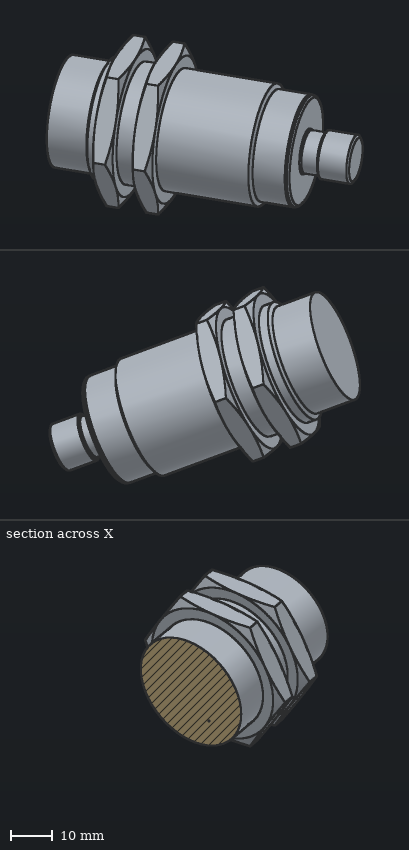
import cadquery as cq
import math

total_length = 73.5

cap_diameter = 27.5
cap_length = 10.0
barrel_diameter = 30.0
barrel_end = 51.9
barrel_chamfer_length = 0.65
barrel_chamfer_root_diameter = 27.5

rear_diameter = 27.5
rear_end = 61.0
rear_lid_diameter = 27.3
rear_lid_thickness = 1.0
rear_lid_chamfer = rear_lid_thickness / 2

neck_diameter = 10.6
neck_flare_length = 0.45
neck_flare_height = 0.3
plug_diameter = 12.0
plug_start = 65.8
plug_end_chamfer_length = 0.5
plug_end_chamfer_depth = 0.65

nut_across_flats = 36.0
nut_thickness = 5.0
nut_first_position = 13.0
nut_spacing = 10.0
nut_count = 2
nut_corner_chamfer_length = 1.0


def cylinder(diameter, start, end):
    """Solid cylinder along X between two stations."""
    return cq.Workplane("YZ", origin=(start, 0, 0)).circle(diameter / 2).extrude(end - start)


def revolve_about_x(points):
    """Turn an (X, radius) outline about the X axis."""
    return cq.Workplane("XY").polyline(points).close().revolve(360, (0, 0, 0), (1, 0, 0))


def make_barrel():
    """Threaded barrel with the same lead-in chamfer at both ends."""
    radius = barrel_diameter / 2
    root_radius = barrel_chamfer_root_diameter / 2
    return revolve_about_x([
        (cap_length, 0),
        (cap_length, root_radius),
        (cap_length + barrel_chamfer_length, radius),
        (barrel_end - barrel_chamfer_length, radius),
        (barrel_end, root_radius),
        (barrel_end, 0),
    ])


def make_rear_housing():
    """Rear housing closed by a slightly narrower, chamfered lid."""
    lid_start = rear_end - rear_lid_thickness
    housing = cylinder(rear_diameter, barrel_end, lid_start)
    lid = cylinder(rear_lid_diameter, lid_start, rear_end).faces(">X").edges().chamfer(rear_lid_chamfer)
    return housing.union(lid)


def make_connector():
    """Stepped stem: a neck flared at both ends and a chamfered plug."""
    neck_radius = neck_diameter / 2
    plug_radius = plug_diameter / 2
    return revolve_about_x([
        (rear_end, 0),
        (rear_end, neck_radius + neck_flare_height),
        (rear_end + neck_flare_length, neck_radius),
        (plug_start - neck_flare_length, neck_radius),
        (plug_start, neck_radius + neck_flare_height),
        (plug_start, plug_radius),
        (total_length - plug_end_chamfer_length, plug_radius),
        (total_length, plug_radius - plug_end_chamfer_depth),
        (total_length, 0),
    ])


def make_nut(start):
    """Hexagon with corners along Y, turned down conically on both faces."""
    corner_radius = nut_across_flats / math.sqrt(3)
    face_radius = nut_across_flats / 2
    end = start + nut_thickness
    hexagon = cq.Workplane("YZ", origin=(start, 0, 0)).polygon(6, 2 * corner_radius).extrude(nut_thickness)
    chamfer_envelope = revolve_about_x([
        (start, 0),
        (start, face_radius),
        (start + nut_corner_chamfer_length, corner_radius),
        (end - nut_corner_chamfer_length, corner_radius),
        (end, face_radius),
        (end, 0),
    ])
    return hexagon.intersect(chamfer_envelope)


result = cylinder(cap_diameter, 0, cap_length)
result = result.union(make_barrel())
result = result.union(make_rear_housing())
result = result.union(make_connector())
for nut_index in range(nut_count):
    result = result.union(make_nut(nut_first_position + nut_index * nut_spacing))